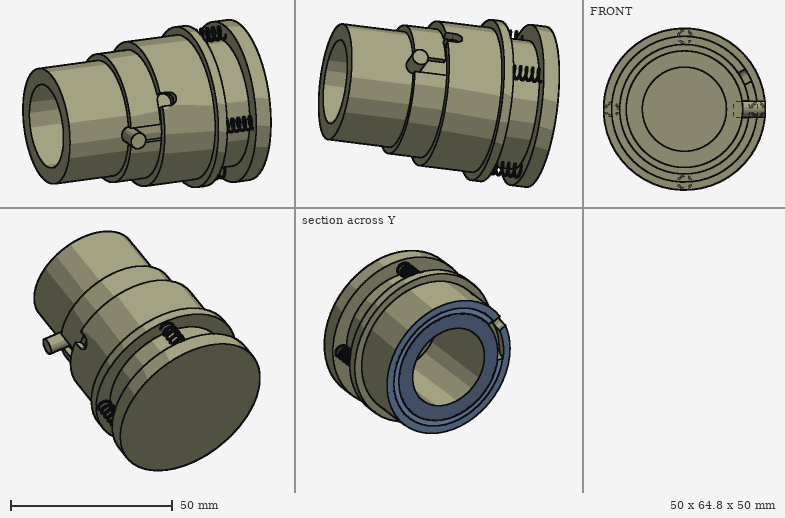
import cadquery as cq
import math

OVERALL_LENGTH = 64.77

FLANGE_DIAMETER = 50.0
FLANGE_THICKNESS = 5.0
SOCKET_TUBE_DIAMETER = 40.0
SOCKET_FRONT = 45.0

SPRING_LENGTH = 9.77
COLLAR_BACK = FLANGE_THICKNESS + SPRING_LENGTH
COLLAR_THICKNESS = 3.0
BARREL_DIAMETER = 45.0
SLEEVE_FRONT = COLLAR_BACK + 20.0

PLUG_DIAMETER = 36.0
BORE_DIAMETER = 26.0

PIN_DIAMETER = 5.0
PIN_DEPTH = OVERALL_LENGTH - 20.0
PIN_OUTER_END = FLANGE_DIAMETER / 2
PIN_LENGTH = 10.0

BAYONET_ANGLE = 28.0
BAYONET_DEPTH = 32.5
SLOT_WIDTH = 5.2
NOTCH_WIDTH = 4.2
NOTCH_END_HEIGHT = 2.5
NOTCH_STRAIGHT_LENGTH = 2.5

SPRING_TURNS = 5
SPRING_COIL_RADIUS = 2.0
SPRING_WIRE_DIAMETER = 0.5
SPRING_CIRCLE_RADIUS = (SOCKET_TUBE_DIAMETER + FLANGE_DIAMETER) / 4
SPRING_ANGLES = [(0, 270), (90, 0), (180, 0), (270, 90)]


def cylinder(diameter, back, front):
    """Cylinder on the common axis between two depths."""
    return cq.Workplane("XZ", origin=(0, -back, 0)).circle(diameter / 2).extrude(front - back)


def make_pin():
    start = PIN_OUTER_END - PIN_LENGTH
    return cq.Workplane("YZ", origin=(start, -PIN_DEPTH, 0)).circle(PIN_DIAMETER / 2).extrude(PIN_LENGTH)


def make_plug(pin):
    tube = cylinder(PLUG_DIAMETER, FLANGE_THICKNESS, OVERALL_LENGTH)
    bore = cylinder(BORE_DIAMETER, FLANGE_THICKNESS, OVERALL_LENGTH)
    return tube.cut(bore).cut(pin)


def turn_to_bayonet(shape):
    """Turn a shape about the common axis from +X towards +Z, to the locked position."""
    return shape.rotate((0, 0, 0), (0, 1, 0), -BAYONET_ANGLE)


def make_bayonet_slot():
    """Straight entry from the front at +X, then a turn around the axis to a round-ended stop."""
    reach = FLANGE_DIAMETER / 2
    round_end = cq.Workplane("YZ", origin=(0, -BAYONET_DEPTH, 0)).circle(SLOT_WIDTH / 2).extrude(reach)
    entry_length = SOCKET_FRONT - BAYONET_DEPTH
    entry = (
        cq.Workplane("YZ", origin=(0, -BAYONET_DEPTH - entry_length / 2, 0))
        .rect(entry_length, SLOT_WIDTH)
        .extrude(reach)
    )
    turn = (
        cq.Workplane("XY", origin=(reach / 2, -BAYONET_DEPTH, 0))
        .rect(reach, SLOT_WIDTH)
        .revolve(BAYONET_ANGLE, (-reach / 2, 0, 0), (-reach / 2, -1, 0))
    )
    return entry.union(round_end).union(turn).union(turn_to_bayonet(round_end))


def make_socket():
    flange = cylinder(FLANGE_DIAMETER, 0, FLANGE_THICKNESS)
    tube = cylinder(SOCKET_TUBE_DIAMETER, FLANGE_THICKNESS, SOCKET_FRONT)
    seat = cylinder(PLUG_DIAMETER, FLANGE_THICKNESS, SOCKET_FRONT)
    return flange.union(tube).cut(seat).cut(make_bayonet_slot())


def make_notch():
    """Radial slot with an elliptical end, open at the front edge of the sleeve."""
    reach = FLANGE_DIAMETER / 2
    end_depth = SLEEVE_FRONT - NOTCH_STRAIGHT_LENGTH
    workplane = cq.Workplane("YZ", origin=(0, -end_depth, 0))
    end = workplane.ellipse(NOTCH_END_HEIGHT, NOTCH_WIDTH / 2).extrude(reach)
    straight = (
        workplane.center(-NOTCH_STRAIGHT_LENGTH / 2, 0)
        .rect(NOTCH_STRAIGHT_LENGTH, NOTCH_WIDTH)
        .extrude(reach)
    )
    return turn_to_bayonet(straight.union(end))


def make_sleeve():
    collar = cylinder(FLANGE_DIAMETER, COLLAR_BACK, COLLAR_BACK + COLLAR_THICKNESS)
    barrel = cylinder(BARREL_DIAMETER, COLLAR_BACK, SLEEVE_FRONT)
    bore = cylinder(SOCKET_TUBE_DIAMETER, COLLAR_BACK, SLEEVE_FRONT)
    return collar.union(barrel).cut(bore).cut(make_notch())


def make_spring(angle, start_angle):
    """Left-hand coil spring, ground flat at both ends."""
    pitch = SPRING_LENGTH / SPRING_TURNS
    helix = cq.Wire.makeHelix(pitch, SPRING_LENGTH, SPRING_COIL_RADIUS, lefthand=True)
    coil = (
        cq.Workplane("XZ", origin=(SPRING_COIL_RADIUS, 0, 0))
        .circle(SPRING_WIRE_DIAMETER / 2)
        .sweep(cq.Workplane(helix), isFrenet=True)
    )
    ends = cq.Workplane("XY").circle(SPRING_COIL_RADIUS + SPRING_WIRE_DIAMETER).extrude(SPRING_LENGTH)
    position = math.radians(angle)
    start = math.radians(start_angle)
    seat = cq.Plane(
        origin=(
            SPRING_CIRCLE_RADIUS * math.cos(position),
            -FLANGE_THICKNESS,
            SPRING_CIRCLE_RADIUS * math.sin(position),
        ),
        xDir=(math.cos(start), 0, math.sin(start)),
        normal=(0, -1, 0),
    )
    return coil.intersect(ends).val().moved(cq.Location(seat))


pin = make_pin()
plug = make_plug(pin)
socket = make_socket()
sleeve = make_sleeve()
springs = [make_spring(angle, start_angle) for angle, start_angle in SPRING_ANGLES]

result = cq.Compound.makeCompound([socket.val(), sleeve.val(), plug.val(), pin.val(), *springs])